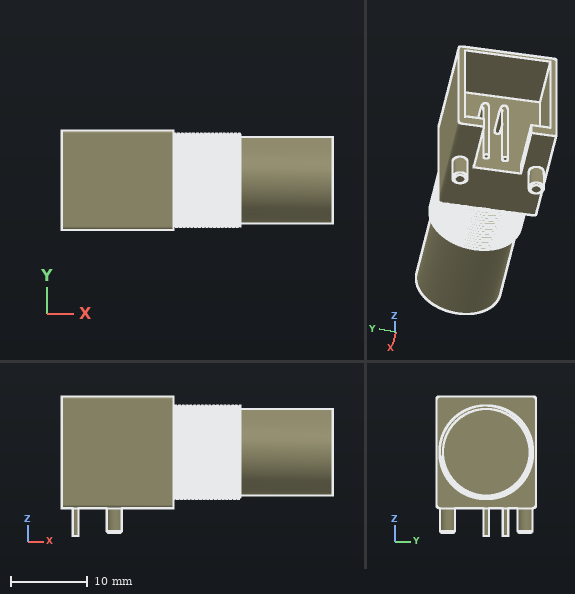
import cadquery as cq
import math

total_length = 35.6
housing_length = 14.7
housing_width = 13.1
housing_height = 14.7
edge_radius = 0.43
side_wall = 0.85
top_wall = 0.68
floor_thickness = 1.5
cavity_depth = 7.5
floor_slot_width = 6.3

axis_height = housing_height / 2
barrel_radius = 11.4 / 2
neck_length = 8.8

thread_root_radius = 11.75 / 2
thread_crest_radius = 12.3 / 2
thread_pitch = 0.5
thread_base_width = 0.45
thread_crest_width = 0.07
thread_embed = 0.05
thread_offset = 0.15

pin_diameter = 0.8
pin_x = 1.8
pin_y_positions = (0.0, 2.53)
pin_bend_radius = 2.42
pin_drop = 3.65

peg_diameter = 2.0
peg_length = 3.25
peg_chamfer = 0.25
peg_x = 6.9
peg_y = 5.1


def make_housing():
    body = (
        cq.Workplane("XY")
        .box(housing_length, housing_width, housing_height, centered=(False, True, False))
        .edges("|X")
        .fillet(edge_radius)
    )
    cavity_height = housing_height - top_wall - floor_thickness
    cavity = (
        cq.Workplane("XY", origin=(0, 0, floor_thickness))
        .box(cavity_depth, housing_width - 2 * side_wall, cavity_height, centered=(False, True, False))
    )
    floor_slot = cq.Workplane("XY").box(
        cavity_depth, floor_slot_width, floor_thickness, centered=(False, True, False)
    )
    return body.cut(cavity).cut(floor_slot)


def make_barrel():
    return (
        cq.Workplane("YZ", origin=(housing_length, 0, axis_height))
        .circle(barrel_radius)
        .extrude(total_length - housing_length)
    )


def make_neck():
    """Build an overlong threaded rod about Z, trim it to the neck and turn its axis onto X."""
    end_allowance = 2 * thread_pitch
    rod_length = neck_length + 2 * end_allowance
    ridge_base_radius = thread_root_radius - thread_embed
    helix = cq.Wire.makeHelix(thread_pitch, neck_length + 2 * thread_pitch, thread_root_radius)
    ridge = (
        cq.Workplane("XZ")
        .polyline([
            (ridge_base_radius, -thread_base_width / 2),
            (thread_crest_radius, -thread_crest_width / 2),
            (thread_crest_radius, thread_crest_width / 2),
            (ridge_base_radius, thread_base_width / 2),
        ])
        .close()
        .sweep(cq.Workplane(helix), isFrenet=True)
        .translate((0, 0, thread_offset - thread_pitch))
    )
    rod = cq.Workplane("XY", origin=(0, 0, -end_allowance)).circle(thread_root_radius).extrude(rod_length)
    trim = cq.Workplane("XY").circle(2 * thread_crest_radius).extrude(neck_length)
    return (
        rod.union(ridge)
        .intersect(trim)
        .rotate((0, 0, 0), (1, 1, 1), 120)
        .translate((housing_length, 0, axis_height))
    )


def make_pin(y):
    """Sweep a round wire up from its tip, round the bend and into the cavity's end wall."""
    bend_start = axis_height - pin_bend_radius
    bend_offset = pin_bend_radius * math.sqrt(0.5)
    bend_middle = (pin_x + pin_bend_radius - bend_offset, bend_start + bend_offset)
    path = (
        cq.Workplane("XZ", origin=(0, y, 0))
        .moveTo(pin_x, -pin_drop)
        .lineTo(pin_x, bend_start)
        .threePointArc(bend_middle, (pin_x + pin_bend_radius, axis_height))
        .lineTo(housing_length, axis_height)
    )
    return cq.Workplane("XY", origin=(pin_x, y, -pin_drop)).circle(pin_diameter / 2).sweep(path)


def make_peg(y):
    return (
        cq.Workplane("XY", origin=(peg_x, y, -peg_length))
        .circle(peg_diameter / 2)
        .extrude(peg_length + floor_thickness / 2)
        .faces("<Z")
        .chamfer(peg_chamfer)
    )


result = make_housing().union(make_barrel()).union(make_neck())
for y in pin_y_positions:
    result = result.union(make_pin(y))
for y in (-peg_y, peg_y):
    result = result.union(make_peg(y))